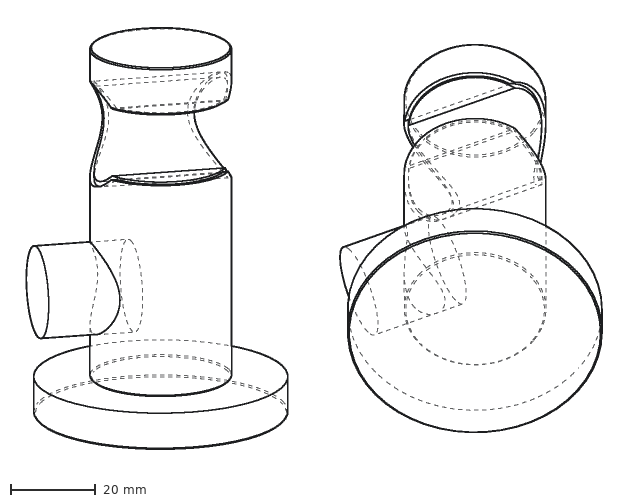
import cadquery as cq

FLANGE_DIAMETER = 60.0
FLANGE_THICKNESS = 9.0
POST_DIAMETER = 33.5
TOTAL_HEIGHT = 90.0
EDGE_CHAMFER = 0.4

PEG_DIAMETER = 22.0
PEG_REACH = 30.0
PEG_SEAT = 7.2
PEG_HEIGHT = 31.95

CRADLE_HEIGHT = 69.9
CRADLE_DIAMETER = 25.0
MOUTH_WIDTH = 17.7
LINER_BORE = 22.6
LINER_MOUTH = 16.6
LINER_RECESS = 1.0

TURN_ANGLE = -1.3


def turned(shape):
    return shape.rotate((0, 0, 0), (0, 0, 1), TURN_ANGLE)


def make_flange():
    flange = cq.Workplane("XY").circle(FLANGE_DIAMETER / 2).extrude(FLANGE_THICKNESS)
    return flange.faces("<Z").chamfer(EDGE_CHAMFER)


def make_peg():
    peg = (
        cq.Workplane("XZ", origin=(0, -PEG_SEAT, PEG_HEIGHT))
        .circle(PEG_DIAMETER / 2)
        .extrude(PEG_REACH - PEG_SEAT)
    )
    return turned(peg)


def make_keyhole(bore_diameter, mouth_width):
    """Bore along Y with a mouth that opens toward +X."""
    plane = cq.Workplane("XZ", origin=(0, 0, CRADLE_HEIGHT))
    bore = plane.circle(bore_diameter / 2).extrude(POST_DIAMETER, both=True)
    mouth = (
        plane.center(POST_DIAMETER / 2, 0)
        .rect(POST_DIAMETER, mouth_width)
        .extrude(POST_DIAMETER, both=True)
    )
    return turned(bore.union(mouth))


def make_post():
    post = (
        cq.Workplane("XY", origin=(0, 0, FLANGE_THICKNESS))
        .circle(POST_DIAMETER / 2)
        .extrude(TOTAL_HEIGHT - FLANGE_THICKNESS)
        .faces("<Z or >Z")
        .chamfer(EDGE_CHAMFER)
    )
    return post.cut(make_keyhole(CRADLE_DIAMETER, MOUTH_WIDTH)).cut(make_peg())


def make_liner():
    envelope = (
        cq.Workplane("XY", origin=(0, 0, CRADLE_HEIGHT - CRADLE_DIAMETER))
        .circle(POST_DIAMETER / 2 - LINER_RECESS)
        .extrude(2 * CRADLE_DIAMETER)
    )
    outer = envelope.intersect(make_keyhole(CRADLE_DIAMETER, MOUTH_WIDTH))
    return outer.cut(make_keyhole(LINER_BORE, LINER_MOUTH))


flange = make_flange()
post = make_post()
peg = make_peg()
liner = make_liner()

result = cq.Compound.makeCompound([flange.val(), *post.vals(), peg.val(), *liner.vals()])